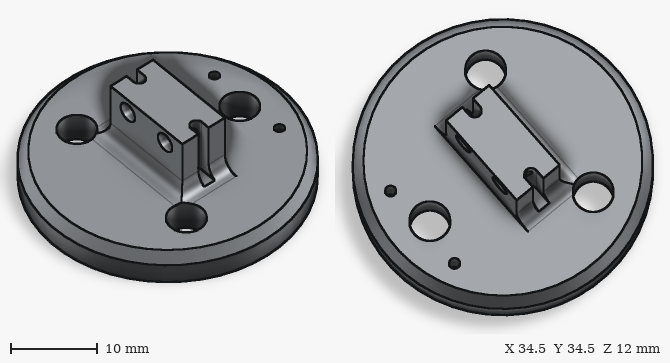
import cadquery as cq

base_diameter = 34.53
base_height = 4.0
base_chamfer = 1.25

total_height = 12.0
block_width = 12.5
block_depth = 6.5
foot_radius = 2.0
foot_top = base_height + foot_radius

large_hole_diameter = 4.7
large_hole_circle_radius = 11.0
large_hole_count = 3
small_hole_diameter = 1.25
small_hole_x = 5.65
small_hole_y = 12.12

cross_hole_diameter = 2.5
cross_hole_x = 3.25
cross_hole_height = total_height - 2.0

slot_width = 1.6
slot_end_x = 5.0
slot_floor = 4.25


def make_base():
    """Disc with a chamfered top edge and its bottom at Z = 0."""
    disc = cq.Workplane("XY").circle(base_diameter / 2).extrude(base_height)
    return disc.faces(">Z").chamfer(base_chamfer)


def make_block():
    """Upright block; crossing the two foot profiles mitres the front corners."""
    half_width = block_width / 2
    half_depth = block_depth / 2
    foot_reach = half_width + foot_radius
    foot_front = -half_depth - foot_radius

    width_profile = (
        cq.Workplane("XZ")
        .moveTo(-foot_reach, base_height)
        .radiusArc((-half_width, foot_top), -foot_radius)
        .lineTo(-half_width, total_height)
        .lineTo(half_width, total_height)
        .lineTo(half_width, foot_top)
        .radiusArc((foot_reach, base_height), -foot_radius)
        .close()
        .extrude(base_diameter / 2, both=True)
    )
    depth_profile = (
        cq.Workplane("YZ")
        .moveTo(foot_front, base_height)
        .radiusArc((-half_depth, foot_top), -foot_radius)
        .lineTo(-half_depth, total_height)
        .lineTo(half_depth, total_height)
        .lineTo(half_depth, base_height)
        .close()
        .extrude(base_diameter / 2, both=True)
    )
    return width_profile.intersect(depth_profile)


def make_base_holes():
    """Three large holes on a circle and a pair of small holes."""
    large_holes = (
        cq.Workplane("XY")
        .polarArray(large_hole_circle_radius, 90, 360, large_hole_count)
        .circle(large_hole_diameter / 2)
        .extrude(total_height)
    )
    small_holes = (
        cq.Workplane("XY")
        .pushPoints([(side * small_hole_x, small_hole_y) for side in (-1, 1)])
        .circle(small_hole_diameter / 2)
        .extrude(base_height)
    )
    return large_holes.union(small_holes)


def make_cross_holes():
    """Pair of horizontal holes along Y."""
    return (
        cq.Workplane("XZ")
        .pushPoints([(side * cross_hole_x, cross_hole_height) for side in (-1, 1)])
        .circle(cross_hole_diameter / 2)
        .extrude(block_depth, both=True)
    )


def make_side_slot(side):
    """Slot open at the top and outwards; side is -1 for left, 1 for right."""
    slot_height = total_height - slot_floor
    slot_length = block_width / 2 + foot_radius - slot_end_x
    floor_plane = cq.Workplane("XY").workplane(offset=slot_floor)
    round_end = floor_plane.center(side * slot_end_x, 0).circle(slot_width / 2).extrude(slot_height)
    channel = (
        floor_plane.center(side * (slot_end_x + slot_length / 2), 0)
        .rect(slot_length, slot_width)
        .extrude(slot_height)
    )
    return round_end.union(channel)


result = make_base().union(make_block())
result = result.cut(make_base_holes()).cut(make_cross_holes())
for slot_side in (-1, 1):
    result = result.cut(make_side_slot(slot_side))